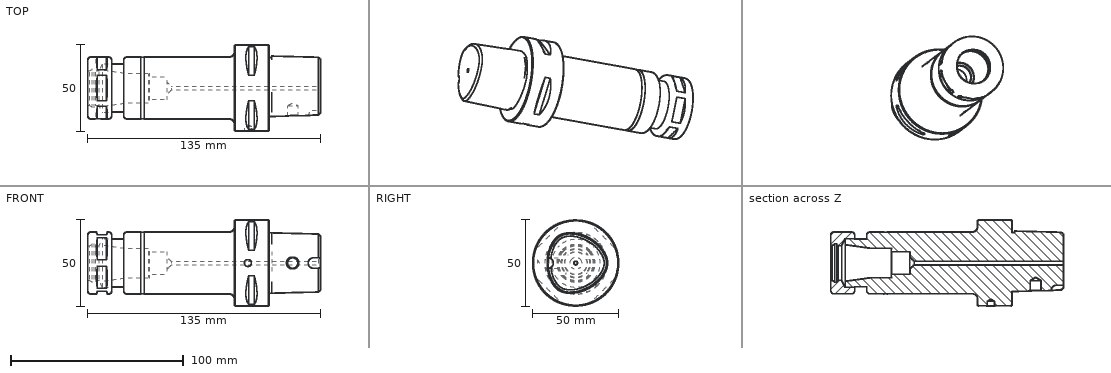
import cadquery as cq
import math

LENGTH = 135.0

NUT_DIA = 36.0
NUT_LENGTH = 14.0
NUT_EDGE_ROUND = 1.9
NUT_MOUTH_DIA = 20.0
NUT_MOUTH_END_X = 6.3
NUT_GROOVE_X = 2.3
NUT_GROOVE_WIDTH = 1.2
NUT_GROOVE_DEPTH = 1.1
NUT_LIP_LENGTH = 0.8
NUT_LIP_FLARE = 0.7
NUT_GROOVE_REAR_BEVEL = 0.8
NUT_GROOVE_REAR_BEVEL_DEPTH = 0.4
WRENCH_FLAT_COUNT = 6
WRENCH_FLAT_X = 5.7
WRENCH_FLAT_WIDTH = 5.3
WRENCH_FLAT_RADIUS = 16.5
WRENCH_WALL_ANGLE = 20.0

NOSE_X = 8.4
NECK_DIA = 28.0
BARREL_X = 20.8
BARREL_DIA = 36.0
BARREL_FRONT_ROUND = 2.0
BAND_X = 30.9
BAND_WIDTH = 2.0
BAND_DEPTH = 0.1

FLANGE_X = 85.0
FLANGE_END_X = 105.2
FLANGE_DIA = 50.0
FLANGE_CHAMFER = 0.5
FLANGE_FILLET = 3.0
NOTCH_COUNT = 4
NOTCH_FIRST_ANGLE = 45.0
NOTCH_FLOOR_X = 93.3
NOTCH_FLOOR_WIDTH = 3.2
NOTCH_FLOOR_RADIUS = 22.1
NOTCH_WALL_ANGLE = 30.0
INDEX_HOLE_X = 92.9
INDEX_HOLE_DIA = 4.0
INDEX_HOLE_DEPTH = 2.7

SHANK_MEAN_DIA = 35.1
SHANK_LOBE = 1.01
SHANK_LOBES = 3
TAPER_X = 107.2
TAPER_RATIO = 1 / 40
SHANK_END_CHAMFER = 1.4
RELIEF_WIDTH = 1.4
RELIEF_DIA = 35.5
CROSS_HOLE_X = 118.8
CROSS_HOLE_DIA = 6.1
CROSS_HOLE_MOUTH_DIA = 7.3
CROSS_HOLE_DEPTH = 6.1
END_SLOT_DIA = 6.1
END_SLOT_CENTER_X = 130.8

COLLET_SEAT_DIA = 21.0
COLLET_SEAT_END_DIA = 17.0
COLLET_SEAT_ANGLE = 8.0
STOP_FACE_DIA = 16.0
STOP_FACE_X = 35.1
SCREW_BORE_MOUTH_DIA = 13.4
SCREW_BORE_DIA = 12.8
SCREW_BORE_END_X = 45.9
COOLANT_MOUTH_DIA = 6.9
COOLANT_DIA = 2.0

DRILL_POINT_ANGLE = 118.0


def revolve_about_x(outline):
    """Turn a closed outline drawn in the XY plane about the X axis."""
    return outline.close().revolve(360, (0, 0, 0), (1, 0, 0))


def flat_notch(start, width, floor_radius, wall_angle, outer_radius, turn):
    """Cutter for a flat-floored notch whose end walls lean outward; turn is measured from +Z."""
    height = outer_radius - floor_radius
    spread = height * math.tan(math.radians(wall_angle))
    cutter = (
        cq.Workplane("XZ")
        .moveTo(start, floor_radius)
        .lineTo(start + width, floor_radius)
        .lineTo(start + width + spread, outer_radius)
        .lineTo(start - spread, outer_radius)
        .close()
        .extrude(outer_radius, both=True)
    )
    return cutter.rotate((0, 0, 0), (1, 0, 0), turn)


def drilled_hole(x, surface_y, dia, depth):
    """Cutter for a drilled hole running toward +Y, with a drill point at its bottom."""
    radius = dia / 2
    point = radius / math.tan(math.radians(DRILL_POINT_ANGLE / 2))
    return (
        cq.Workplane("XY")
        .moveTo(x, surface_y - radius)
        .lineTo(x + radius, surface_y - radius)
        .lineTo(x + radius, surface_y + depth)
        .lineTo(x, surface_y + depth + point)
        .close()
        .revolve(360, (x, 0, 0), (x, 1, 0))
    )


def make_nut():
    """Nut with a flared mouth, an inner groove and wrench flats, bored to sit on the neck."""
    radius = NUT_DIA / 2
    mouth_radius = NUT_MOUTH_DIA / 2
    groove_radius = mouth_radius + NUT_GROOVE_DEPTH
    groove_end = NUT_GROOVE_X + NUT_GROOVE_WIDTH
    nut = revolve_about_x(
        cq.Workplane("XY")
        .moveTo(0, mouth_radius)
        .lineTo(0, radius - NUT_EDGE_ROUND)
        .radiusArc((NUT_EDGE_ROUND, radius), NUT_EDGE_ROUND)
        .lineTo(NUT_LENGTH - NUT_EDGE_ROUND, radius)
        .radiusArc((NUT_LENGTH, radius - NUT_EDGE_ROUND), NUT_EDGE_ROUND)
        .lineTo(NUT_LENGTH, NECK_DIA / 2)
        .lineTo(NOSE_X, NECK_DIA / 2)
        .lineTo(NUT_MOUTH_END_X, mouth_radius)
        .lineTo(groove_end + NUT_GROOVE_REAR_BEVEL, mouth_radius)
        .lineTo(groove_end, mouth_radius + NUT_GROOVE_REAR_BEVEL_DEPTH)
        .lineTo(groove_end, groove_radius)
        .lineTo(NUT_GROOVE_X, groove_radius)
        .lineTo(NUT_GROOVE_X, mouth_radius + NUT_LIP_FLARE)
        .lineTo(NUT_LIP_LENGTH, mouth_radius)
    )
    for index in range(WRENCH_FLAT_COUNT):
        turn = index * 360 / WRENCH_FLAT_COUNT
        nut = nut.cut(
            flat_notch(
                WRENCH_FLAT_X, WRENCH_FLAT_WIDTH, WRENCH_FLAT_RADIUS,
                WRENCH_WALL_ANGLE, radius, turn,
            )
        )
    return nut


def make_turned_front():
    """Neck, barrel and flange, solid."""
    barrel_radius = BARREL_DIA / 2
    band_radius = barrel_radius - BAND_DEPTH
    band_end = BAND_X + BAND_WIDTH
    flange_radius = FLANGE_DIA / 2
    return revolve_about_x(
        cq.Workplane("XY")
        .moveTo(NOSE_X, 0)
        .lineTo(NOSE_X, NECK_DIA / 2)
        .lineTo(BARREL_X, NECK_DIA / 2)
        .lineTo(BARREL_X, barrel_radius - BARREL_FRONT_ROUND)
        .radiusArc((BARREL_X + BARREL_FRONT_ROUND, barrel_radius), BARREL_FRONT_ROUND)
        .lineTo(BAND_X, barrel_radius)
        .lineTo(BAND_X, band_radius)
        .lineTo(band_end, band_radius)
        .lineTo(band_end, barrel_radius)
        .lineTo(FLANGE_X - FLANGE_FILLET, barrel_radius)
        .radiusArc((FLANGE_X, barrel_radius + FLANGE_FILLET), -FLANGE_FILLET)
        .lineTo(FLANGE_X, flange_radius - FLANGE_CHAMFER)
        .lineTo(FLANGE_X + FLANGE_CHAMFER, flange_radius)
        .lineTo(FLANGE_END_X - FLANGE_CHAMFER, flange_radius)
        .lineTo(FLANGE_END_X, flange_radius - FLANGE_CHAMFER)
        .lineTo(FLANGE_END_X, 0)
    )


def lobed_outline(x, inset):
    """Three-lobed curve of constant width at station x, moved inward by inset."""

    def outline_point(turn_fraction):
        angle = 2 * math.pi * turn_fraction
        reach = SHANK_MEAN_DIA / 2 - inset + SHANK_LOBE * math.cos(SHANK_LOBES * angle)
        swing = -SHANK_LOBES * SHANK_LOBE * math.sin(SHANK_LOBES * angle)
        return (
            reach * math.cos(angle) - swing * math.sin(angle),
            reach * math.sin(angle) + swing * math.cos(angle),
        )

    return cq.Workplane("YZ", origin=(x, 0, 0)).parametricCurve(outline_point).val()


def make_shank():
    """Straight root, taper and bevelled tip, with the lobes turned down beside the flange."""
    chamfer_x = LENGTH - SHANK_END_CHAMFER
    taper_inset = (chamfer_x - TAPER_X) * TAPER_RATIO
    root = lobed_outline(FLANGE_END_X, 0)
    taper_start = lobed_outline(TAPER_X, 0)
    taper_end = lobed_outline(chamfer_x, taper_inset)
    tip = lobed_outline(LENGTH, taper_inset + SHANK_END_CHAMFER)
    shank = cq.Workplane(cq.Solid.makeLoft([root, taper_start], True))
    shank = shank.union(cq.Workplane(cq.Solid.makeLoft([taper_start, taper_end], True)))
    shank = shank.union(cq.Workplane(cq.Solid.makeLoft([taper_end, tip], True)))
    relief = (
        cq.Workplane("YZ", origin=(FLANGE_END_X, 0, 0))
        .circle(FLANGE_DIA / 2)
        .circle(RELIEF_DIA / 2)
        .extrude(RELIEF_WIDTH)
    )
    return shank.cut(relief)


def make_bore():
    """Cutter for the collet seat, the stepped bores behind it and the coolant hole."""
    seat_radius = COLLET_SEAT_DIA / 2
    seat_end_radius = COLLET_SEAT_END_DIA / 2
    seat_end_x = NOSE_X + (seat_radius - seat_end_radius) / math.tan(math.radians(COLLET_SEAT_ANGLE))
    stop_radius = STOP_FACE_DIA / 2
    stop_root_x = STOP_FACE_X + seat_end_radius - stop_radius
    screw_mouth_radius = SCREW_BORE_MOUTH_DIA / 2
    screw_radius = SCREW_BORE_DIA / 2
    coolant_mouth_radius = COOLANT_MOUTH_DIA / 2
    coolant_radius = COOLANT_DIA / 2
    return revolve_about_x(
        cq.Workplane("XY")
        .moveTo(NOSE_X, 0)
        .lineTo(NOSE_X, seat_radius)
        .lineTo(seat_end_x, seat_end_radius)
        .lineTo(stop_root_x, seat_end_radius)
        .lineTo(STOP_FACE_X, stop_radius)
        .lineTo(STOP_FACE_X, screw_mouth_radius)
        .lineTo(STOP_FACE_X + screw_mouth_radius - screw_radius, screw_radius)
        .lineTo(SCREW_BORE_END_X, screw_radius)
        .lineTo(SCREW_BORE_END_X, coolant_mouth_radius)
        .lineTo(SCREW_BORE_END_X + coolant_mouth_radius - coolant_radius, coolant_radius)
        .lineTo(LENGTH, coolant_radius)
        .lineTo(LENGTH, 0)
    )


def shank_flat_y(x):
    """Y of the shank surface on its -Y side, opposite the +Y lobe."""
    return SHANK_LOBE - SHANK_MEAN_DIA / 2 + (x - TAPER_X) * TAPER_RATIO


def make_cross_hole():
    """Cutter for the hole in the shank, with its countersunk mouth."""
    surface_y = shank_flat_y(CROSS_HOLE_X)
    mouth_radius = CROSS_HOLE_MOUTH_DIA / 2
    hole = drilled_hole(CROSS_HOLE_X, surface_y, CROSS_HOLE_DIA, CROSS_HOLE_DEPTH)
    mouth = cq.Solid.makeCone(
        mouth_radius, 0, mouth_radius, cq.Vector(CROSS_HOLE_X, surface_y, 0), cq.Vector(0, 1, 0)
    )
    return hole.union(cq.Workplane(mouth))


def make_end_slot():
    """Cutter for the round-bottomed, ball-ended slot in the end of the shank."""
    radius = END_SLOT_DIA / 2
    axis_y = shank_flat_y(END_SLOT_CENTER_X)
    center = (END_SLOT_CENTER_X, axis_y, 0)
    slot = cq.Workplane("YZ", origin=center).circle(radius).extrude(LENGTH - END_SLOT_CENTER_X)
    return slot.union(cq.Workplane("XY", origin=center).sphere(radius))


def make_holder():
    """Neck, barrel, flange and shank as one solid, with every bore, notch and hole cut."""
    holder = make_turned_front().union(make_shank()).cut(make_bore())
    for index in range(NOTCH_COUNT):
        turn = NOTCH_FIRST_ANGLE + index * 360 / NOTCH_COUNT
        holder = holder.cut(
            flat_notch(
                NOTCH_FLOOR_X, NOTCH_FLOOR_WIDTH, NOTCH_FLOOR_RADIUS,
                NOTCH_WALL_ANGLE, FLANGE_DIA / 2, turn,
            )
        )
    holder = holder.cut(drilled_hole(INDEX_HOLE_X, -FLANGE_DIA / 2, INDEX_HOLE_DIA, INDEX_HOLE_DEPTH))
    return holder.cut(make_cross_hole()).cut(make_end_slot())


nut = make_nut()
holder = make_holder()
result = cq.Compound.makeCompound([nut.val(), holder.val()])